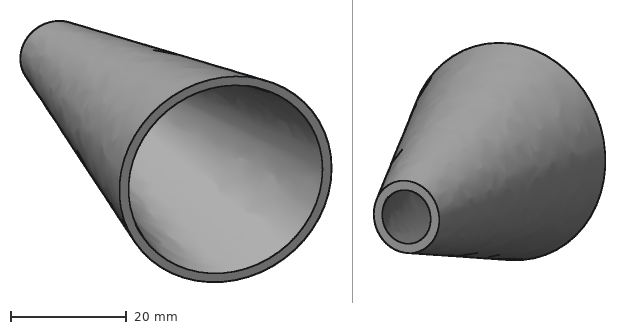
import cadquery as cq

length = 63.5
large_diameter = 38.1
small_diameter = 12.7
wall = 1.65

small_end_offset = -(large_diameter - small_diameter) / 2


def eccentric_cone(small_end_diameter, large_end_diameter):
    """Solid between the small circle at X = 0 and the large circle at X = length."""
    return (
        cq.Workplane("YZ")
        .center(small_end_offset, 0)
        .circle(small_end_diameter / 2)
        .workplane(offset=length)
        .center(-small_end_offset, 0)
        .circle(large_end_diameter / 2)
        .loft(ruled=True, combine=True)
    )


outer_body = eccentric_cone(small_diameter, large_diameter)
bore = eccentric_cone(small_diameter - 2 * wall, large_diameter - 2 * wall)

result = outer_body.cut(bore)